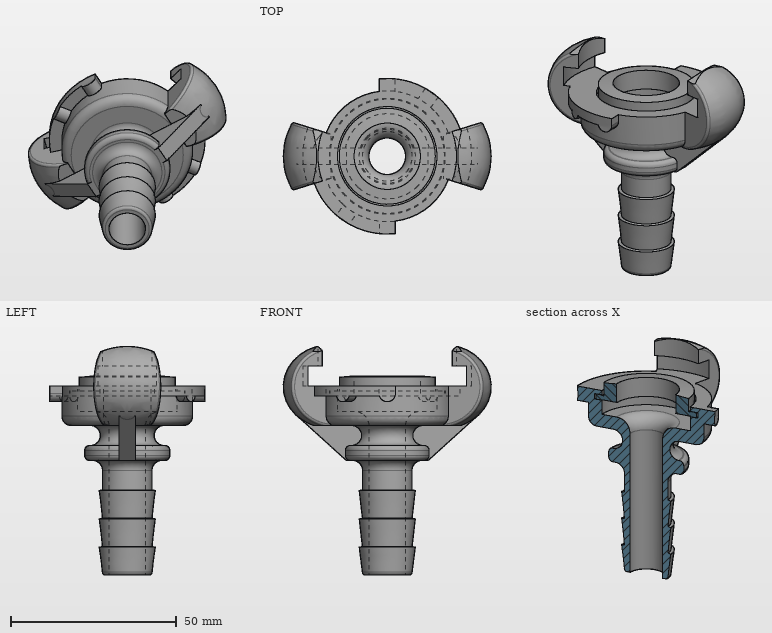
import cadquery as cq
import math

SHANK_R = 15.0 / 2
BORE_R = 11.0 / 2
BARB_R = 8.5
BARB_ROOT_R = 7.5
BARB_COUNT = 3
BARB_PITCH = 8.55
FIRST_BARB_Z = 8.6
BARB_RIM_DROP = 0.2
SHANK_END_FILLET = 0.9

COLLAR_R = 25.75 / 2
COLLAR_BOTTOM_Z = 34.6
COLLAR_FILLET = 1.5
COLLAR_TOP_Z = COLLAR_BOTTOM_Z + 3 * COLLAR_FILLET
SHANK_FILLET = 3.0
BODY_BOTTOM_Z = 45.1
NECK_ARC_R = (BODY_BOTTOM_Z - COLLAR_TOP_Z) / 2
NECK_R = 8.15

BODY_R = 19.7
BODY_FILLET = 2.8
FACE_Z = 57.05
FLANGE_R = 47.0 / 2
FLANGE_BOTTOM_Z = 53.95
STOP_HALF_WIDTH = 2.5
STOP_CENTER_Z = 54.8
STOP_ANGLES = (0, -35)

CLAW_CENTER_X = 16.8
CLAW_CENTER_Z = 56.85
CLAW_REACH_X = 14.6
CLAW_REACH_Z = 12.75
CLAW_SAG_X = 2.8
CLAW_SAG_Z = 1.7
CLAW_HALF_LENGTH = 10.35
CLAW_SIDE_ANGLE = 17.3
CLAW_SIDE_OFFSET = 1.4
CLAW_EDGE_FILLET = 0.8
CLAW_TOP_Z = 69
CLAW_CROWN_R = 20.7
CLAW_ROOT_X = 16.9
HOOK_TIP_R = 20.9
THROAT_R = 25.45
THROAT_TOP_Z = 63.1

RIB_THICKNESS = 5.1
RIB_INNER_X = 6.2
RIB_FOOT_X = 12.35
RIB_HEAD_X = 27.2
RIB_HEAD_Z = 48.0

SEAT_R = 30.0 / 2
SEAT_FLOOR_Z = 49.4
SEAL_R = 14.5
SEAL_HOLE_R = 10.0
SEAL_RIM_Z = 59.7
SEAL_TOP_Z = 60.1
SEAL_BOTTOM_Z = 53.95
SEAL_FLANGE_R = 17.25
SEAL_GROOVE_R = 35.0 / 2
SEAL_FLANGE_THICKNESS = 1.5
BORE_MOUTH_R = SEAL_HOLE_R
BORE_FILLET = BORE_MOUTH_R - BORE_R

SIN45 = math.sin(math.radians(45))


def cylinder(radius, bottom_z, top_z):
    return cq.Workplane("XY").workplane(offset=bottom_z).circle(radius).extrude(top_z - bottom_z)


def quarter_arc(sketch, center, radius, middle_signs, end):
    """Add a quarter round; middle_signs tell on which side of the center it bulges."""
    middle = (
        center[0] + middle_signs[0] * radius * SIN45,
        center[1] + middle_signs[1] * radius * SIN45,
    )
    return sketch.threePointArc(middle, end)


def turned_body():
    """Shank with barbs, collar, neck and round body, revolved about Z."""
    profile = cq.Workplane("XZ").moveTo(0, 0).lineTo(BARB_ROOT_R - SHANK_END_FILLET, 0)
    profile = quarter_arc(
        profile,
        (BARB_ROOT_R - SHANK_END_FILLET, SHANK_END_FILLET),
        SHANK_END_FILLET,
        (1, -1),
        (BARB_ROOT_R, SHANK_END_FILLET),
    )
    for barb in range(1, BARB_COUNT + 1):
        rim_z = FIRST_BARB_Z + (barb - 1) * BARB_PITCH
        step_r = SHANK_R if barb == BARB_COUNT else BARB_ROOT_R
        profile = profile.lineTo(BARB_R, rim_z - BARB_RIM_DROP).lineTo(step_r, rim_z)

    fillet_z = COLLAR_BOTTOM_Z - SHANK_FILLET
    fillet_r = SHANK_R + SHANK_FILLET
    profile = profile.lineTo(SHANK_R, fillet_z)
    profile = quarter_arc(
        profile, (fillet_r, fillet_z), SHANK_FILLET, (-1, 1), (fillet_r, COLLAR_BOTTOM_Z)
    )

    collar_r = COLLAR_R - COLLAR_FILLET
    low_z = COLLAR_BOTTOM_Z + COLLAR_FILLET
    high_z = COLLAR_TOP_Z - COLLAR_FILLET
    profile = profile.lineTo(collar_r, COLLAR_BOTTOM_Z)
    profile = quarter_arc(profile, (collar_r, low_z), COLLAR_FILLET, (1, -1), (COLLAR_R, low_z))
    profile = profile.lineTo(COLLAR_R, high_z)
    profile = quarter_arc(
        profile, (collar_r, high_z), COLLAR_FILLET, (1, 1), (collar_r, COLLAR_TOP_Z)
    )

    neck_end_r = NECK_R + NECK_ARC_R
    profile = profile.lineTo(neck_end_r, COLLAR_TOP_Z)
    profile = profile.threePointArc(
        (NECK_R, COLLAR_TOP_Z + NECK_ARC_R), (neck_end_r, BODY_BOTTOM_Z)
    )

    round_r = BODY_R - BODY_FILLET
    round_z = BODY_BOTTOM_Z + BODY_FILLET
    profile = profile.lineTo(round_r, BODY_BOTTOM_Z)
    profile = quarter_arc(profile, (round_r, round_z), BODY_FILLET, (1, -1), (BODY_R, round_z))
    profile = profile.lineTo(BODY_R, FACE_Z).lineTo(0, FACE_Z).close()
    return profile.revolve(360, (0, 0, 0), (0, 1, 0))


def flange_sector():
    """Flange with two rounded stops, reaching from the -Y stop round to the -X claw."""
    flange = (
        cq.Workplane("XY")
        .workplane(offset=FLANGE_BOTTOM_Z)
        .rect(-FLANGE_R, -FLANGE_R, centered=False)
        .extrude(FACE_Z - FLANGE_BOTTOM_Z)
    )
    flange_end = (
        cq.Workplane("XY")
        .workplane(offset=STOP_CENTER_Z)
        .rect(STOP_HALF_WIDTH, -FLANGE_R, centered=False)
        .extrude(FACE_Z - STOP_CENTER_Z)
    )
    flange = flange.union(flange_end)
    for angle in STOP_ANGLES:
        stop = (
            cq.Workplane("XZ")
            .center(0, STOP_CENTER_Z)
            .circle(STOP_HALF_WIDTH)
            .extrude(FLANGE_R)
            .rotate((0, 0, 0), (0, 0, 1), angle)
        )
        flange = flange.union(stop)
    return flange.intersect(cylinder(FLANGE_R, BODY_BOTTOM_Z, FACE_Z))


def claw():
    """Claw on the +X side: a barrel with tapered sides, hollowed to a hook."""
    end_x = CLAW_REACH_X - CLAW_SAG_X
    end_z = CLAW_REACH_Z - CLAW_SAG_Z
    barrel = (
        cq.Workplane("XZ", origin=(CLAW_CENTER_X, CLAW_HALF_LENGTH, CLAW_CENTER_Z))
        .ellipse(end_x, end_z, rotation_angle=180)
        .workplane(offset=CLAW_HALF_LENGTH)
        .ellipse(CLAW_REACH_X, CLAW_REACH_Z, rotation_angle=180)
        .workplane(offset=CLAW_HALF_LENGTH)
        .ellipse(end_x, end_z, rotation_angle=180)
        .loft()
    )
    far_x = CLAW_CENTER_X + CLAW_REACH_X
    far_y = CLAW_SIDE_OFFSET + far_x * math.tan(math.radians(CLAW_SIDE_ANGLE))
    wedge = (
        cq.Workplane("XY")
        .polyline([
            (0, CLAW_SIDE_OFFSET),
            (far_x, far_y),
            (far_x, -far_y),
            (0, -CLAW_SIDE_OFFSET),
        ])
        .close()
        .extrude(2 * CLAW_TOP_Z)
    )
    crown = (
        cq.Workplane("YZ")
        .center(0, CLAW_TOP_Z - CLAW_CROWN_R)
        .circle(CLAW_CROWN_R)
        .extrude(far_x)
    )
    outside = (
        cq.Workplane("XY")
        .workplane(offset=BODY_BOTTOM_Z)
        .moveTo((CLAW_ROOT_X + far_x) / 2, 0)
        .rect(far_x - CLAW_ROOT_X, 4 * CLAW_HALF_LENGTH)
        .extrude(CLAW_TOP_Z - BODY_BOTTOM_Z)
    )
    blank = barrel.intersect(wedge)
    blank = blank.faces("<Y or >Y").edges().fillet(CLAW_EDGE_FILLET)
    hook = blank.intersect(outside).intersect(crown)
    hook = hook.cut(cylinder(HOOK_TIP_R, FACE_Z, 2 * CLAW_TOP_Z))
    return hook.cut(cylinder(THROAT_R, FACE_Z, THROAT_TOP_Z))


def rib():
    """Slanted web from the collar up to the +X claw."""
    return (
        cq.Workplane("XZ")
        .polyline([
            (RIB_INNER_X, COLLAR_BOTTOM_Z),
            (RIB_FOOT_X, COLLAR_BOTTOM_Z),
            (RIB_HEAD_X, RIB_HEAD_Z),
            (RIB_INNER_X, RIB_HEAD_Z),
        ])
        .close()
        .extrude(RIB_THICKNESS / 2, both=True)
    )


def seal_seat():
    """Recess under the seal, the groove for its flange and the flared bore."""
    mouth_z = SEAT_FLOOR_Z - BORE_FILLET
    flared_bore = cq.Workplane("XZ").moveTo(0, 0).lineTo(BORE_R, 0).lineTo(BORE_R, mouth_z)
    flared_bore = quarter_arc(
        flared_bore, (BORE_MOUTH_R, mouth_z), BORE_FILLET, (-1, 1), (BORE_MOUTH_R, SEAT_FLOOR_Z)
    )
    flared_bore = flared_bore.lineTo(0, SEAT_FLOOR_Z).close().revolve(360, (0, 0, 0), (0, 1, 0))
    groove = cylinder(SEAL_GROOVE_R, SEAL_BOTTOM_Z, SEAL_BOTTOM_Z + SEAL_FLANGE_THICKNESS)
    return cylinder(SEAT_R, SEAT_FLOOR_Z, FACE_Z).union(groove).union(flared_bore)


def make_housing():
    body = turned_body()
    for turn in (0, 180):
        for feature in (flange_sector(), claw(), rib()):
            body = body.union(feature.rotate((0, 0, 0), (0, 0, 1), turn))
    return body.cut(seal_seat())


def make_seal():
    """Rubber ring with a gently coned top and a retaining flange at the bottom."""
    flange_top_z = SEAL_BOTTOM_Z + SEAL_FLANGE_THICKNESS
    return (
        cq.Workplane("XZ")
        .polyline([
            (SEAL_HOLE_R, SEAL_BOTTOM_Z),
            (SEAL_FLANGE_R, SEAL_BOTTOM_Z),
            (SEAL_FLANGE_R, flange_top_z),
            (SEAL_R, flange_top_z),
            (SEAL_R, SEAL_RIM_Z),
            (SEAL_HOLE_R, SEAL_TOP_Z),
        ])
        .close()
        .revolve(360, (0, 0, 0), (0, 1, 0))
    )


housing = make_housing()
seal = make_seal()
result = cq.Compound.makeCompound([housing.val(), seal.val()])